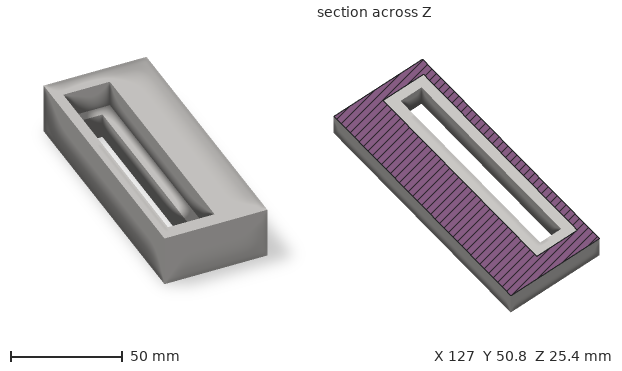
import cadquery as cq

block_length = 127.0
block_width = 50.8
block_height = 25.4

pocket_left = 10.0
pocket_front = 5.0
pocket_length = 110.0
pocket_width = 23.0
pocket_depth = 13.0

ledge = 5.0
slot_length = pocket_length - 2 * ledge
slot_width = 12.0


def corner_box(length, width, height, x, y, z):
    """Box whose lowest corner sits at (x, y, z)."""
    return cq.Workplane("XY").box(length, width, height, centered=False).translate((x, y, z))


block = corner_box(block_length, block_width, block_height, 0, 0, 0)

pocket_floor = block_height - pocket_depth
pocket = corner_box(
    pocket_length, pocket_width, pocket_depth, pocket_left, pocket_front, pocket_floor
)

slot = corner_box(
    slot_length, slot_width, block_height, pocket_left + ledge, pocket_front + ledge, 0
)

result = block.cut(pocket).cut(slot)